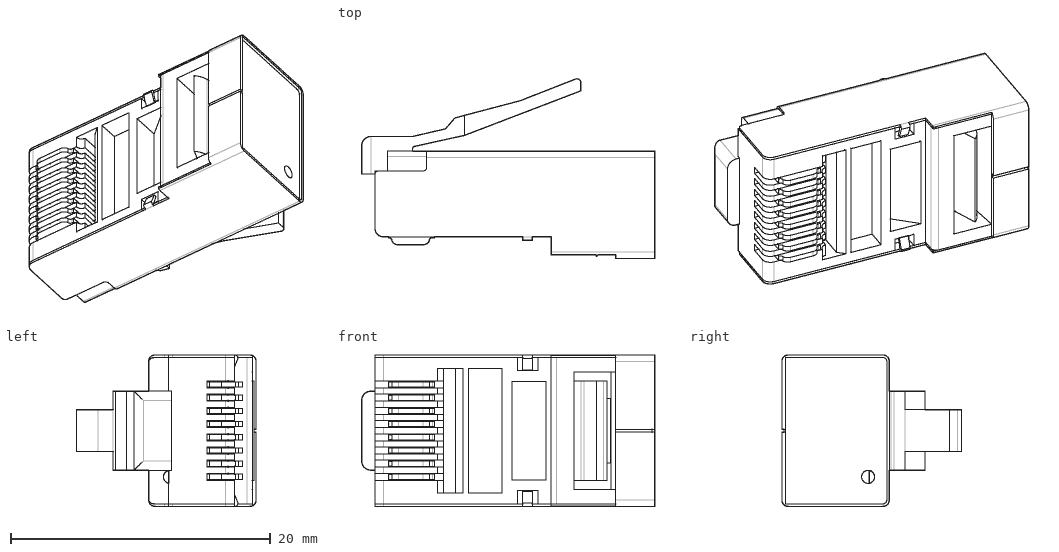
import cadquery as cq
import math


overall_length = 22.6
width = 11.68
latch_side = 8.3
sheet = 0.2
shell_radius = 0.5

nose_x = 1.02
nose_y = 1.67
nose_radius = 0.68
shoulder_x = 14.6
shoulder_y = 0.3
shoulder_radius = 0.43
housing_end = overall_length - 0.23
housing_width = width - 2 * sheet
ledge_y = 6.75
pad_x = 2.01
pad_radius = 0.4

shell_notch_end = 5.02
shell_notch_radius = 0.3
flap_x = 19.57
seam = 0.2
tab_x = 12.4
tab_width = 0.75
tab_bulge = 0.27
tab_reach = 1.18
tab_slope = 23.0
tab_notch_x = 12.0
tab_notch_length = 1.58
tab_notch_reach = 1.22
tab_notch_depth = 0.9

latch_width = 6.1
latch_round = 0.72
latch_foot = 6.5
latch_top = 9.42
latch_hinge_x = 3.93
finger_x = 7.93
finger_width = 3.23
finger_tip_x = 16.9
finger_tip_radius = 0.32
hinge_fillet = 0.2

contact_count = 8
pitch = 1.02
slot_width = 0.55
slot_floor = 3.77
slot_end = 6.3
contact_thickness = 0.4
contact_start = 2.05
contact_end = 5.6
contact_face = 1.6
contact_crest = 1.06
bump_middle = 3.77
bump_flat = 1.9
bump_round = (0.5, 0.32)
bump_round_radius = 0.52
bump_root = 0.23
contact_step_y = 2.7
contact_step = 0.14
contact_chamfer = (0.07, 0.18)

crimp_width = 9.58
crimp_slope_start = 7.23
crimp_end = 7.82
crimp_floor = 4.07
crimp_radius = 0.47
window_start = 8.25
window_end = 10.8
window_floor = 3.3
ramp_start = 11.6
ramp_end = 14.22
ramp_width = 7.6
ramp_angle = 40.5
clamp_start = 16.36
clamp_width = 9.06
clamp_floor = 3.16
clamp_wall_run = 0.35

bar_width = 7.68
bar_base = 2.87
bar_foot_x = 17.06
bar_foot_radius = 0.23
bar_tip_x = 18.1
bar_tip_y = 0.15
bar_back = (0.55, 0.9)
bar_back_radius = 2.03
bar_end_x = 18.92
web_end = 19.19
web_width = 4.97
web_y = 2.94

wire_radius = 0.5
wire_y = 6.65
wire_z = -(contact_count - 1) / 2 * pitch


def plate(outline, z_width):
    """Extrude a closed XY outline, centred on Z = 0."""
    return outline.extrude(z_width / 2, both=True)


def block(x0, x1, y0, y1, z_width, z_middle=0.0):
    return cq.Workplane("XY").box(x1 - x0, y1 - y0, z_width).translate(
        ((x0 + x1) / 2, (y0 + y1) / 2, z_middle)
    )


def shell_outside():
    return block(0, overall_length, 0, latch_side, width).edges("|X").fillet(shell_radius)


def shell_inside():
    section = block(0, overall_length, shoulder_y, latch_side - sheet, housing_width)
    return section.edges("|X and >Y").fillet(shell_radius - sheet)


def side_outline(start_y, end_y):
    """Front part outline from the nose to the shoulder, with the rounded nose corner."""
    return (
        cq.Workplane("XY")
        .moveTo(nose_x, start_y)
        .lineTo(nose_x, nose_y + nose_radius)
        .radiusArc((nose_x + nose_radius, nose_y), -nose_radius)
        .lineTo(shoulder_x, nose_y)
        .lineTo(shoulder_x, end_y)
    )


def contact_positions():
    return [(i - (contact_count - 1) / 2) * pitch for i in range(contact_count)]


def make_latch():
    foot = block(0, nose_x, latch_foot, latch_top, latch_width)
    foot = foot.union(block(nose_x, latch_hinge_x, ledge_y, latch_top, latch_width))
    foot = foot.edges("(<X and |Z and >Y) or (<X and |Y)").fillet(latch_round)
    hinge_y = 8.6
    finger_y = 9.5
    finger_top = 11.05
    underside_slope = (finger_y - hinge_y) / (finger_x - latch_hinge_x)
    wide = plate(
        cq.Workplane("XY")
        .moveTo(latch_hinge_x, latch_top)
        .lineTo(6.46, 10.01)
        .lineTo(7.19, 10.85)
        .lineTo(finger_x, finger_top)
        .lineTo(finger_x, finger_y)
        .lineTo(latch_hinge_x + hinge_fillet, hinge_y + hinge_fillet * underside_slope)
        .radiusArc((latch_hinge_x, hinge_y - hinge_fillet), -hinge_fillet)
        .close(),
        latch_width,
    )
    finger = plate(
        cq.Workplane("XY")
        .moveTo(finger_x, finger_y)
        .lineTo(finger_x, finger_top)
        .lineTo(12.23, 12.18)
        .lineTo(finger_tip_x, 14.01)
        .lineTo(finger_tip_x, 12.93)
        .close(),
        finger_width,
    ).edges("|Z and >X and >Y").fillet(finger_tip_radius)
    return foot.union(wide).union(finger)


def cut_windows(body):
    slope = math.tan(math.radians(ramp_angle))
    crimp_wall_y = nose_y + (crimp_end - crimp_slope_start) * slope
    crimp = plate(
        cq.Workplane("XY")
        .moveTo(slot_end - crimp_radius, nose_y)
        .radiusArc((slot_end, nose_y + crimp_radius), crimp_radius)
        .lineTo(slot_end, crimp_floor)
        .lineTo(crimp_slope_start, crimp_floor)
        .lineTo(crimp_slope_start, crimp_wall_y)
        .lineTo(crimp_end, nose_y)
        .close(),
        crimp_width,
    )
    window = block(window_start, window_end, nose_y, window_floor, crimp_width)
    ramp = plate(
        cq.Workplane("XY")
        .moveTo(ramp_start, nose_y)
        .lineTo(ramp_end, nose_y)
        .lineTo(ramp_start, nose_y + (ramp_end - ramp_start) * slope)
        .close(),
        ramp_width,
    )
    clamp = plate(
        cq.Workplane("XY")
        .moveTo(clamp_start, shoulder_y)
        .lineTo(flap_x, shoulder_y)
        .lineTo(flap_x - clamp_wall_run, clamp_floor)
        .lineTo(clamp_start, clamp_floor)
        .close(),
        clamp_width,
    )
    return body.cut(crimp).cut(window).cut(ramp).cut(clamp)


def make_bar():
    back_x, back_y = bar_back
    bar = plate(
        cq.Workplane("XY")
        .moveTo(clamp_start, clamp_floor)
        .lineTo(clamp_start, bar_base)
        .lineTo(bar_foot_x, bar_base)
        .lineTo(bar_tip_x, bar_tip_y)
        .radiusArc((bar_tip_x + back_x, bar_tip_y + back_y), -bar_back_radius)
        .lineTo(bar_end_x, clamp_floor)
        .close(),
        bar_width,
    )
    foot_edge = cq.selectors.NearestToPointSelector((bar_foot_x, bar_base, 0))
    bar = bar.edges("|Z").edges(foot_edge).fillet(bar_foot_radius)
    return bar.union(block(bar_end_x, web_end, web_y, clamp_floor, web_width))


def make_housing():
    body = plate(
        side_outline(ledge_y, shoulder_y + shoulder_radius)
        .radiusArc((shoulder_x + shoulder_radius, shoulder_y), -shoulder_radius)
        .lineTo(housing_end, shoulder_y)
        .lineTo(housing_end, latch_side - sheet)
        .lineTo(shell_notch_end, latch_side - sheet)
        .lineTo(shell_notch_end, ledge_y)
        .close(),
        housing_width,
    )
    body = body.intersect(shell_inside())
    pad = block(pad_x, shell_notch_end, ledge_y, latch_side, housing_width)
    body = body.union(pad.edges("|X and >Y").fillet(pad_radius))
    body = body.union(make_latch())
    body = cut_windows(body).union(make_bar())
    for z in contact_positions():
        body = body.cut(block(nose_x, slot_end, nose_y, slot_floor, slot_width, z))
    for side in (-1, 1):
        middle = side * (width - tab_notch_reach) / 2
        body = body.cut(
            block(tab_notch_x, tab_notch_x + tab_notch_length, nose_y,
                  nose_y + tab_notch_depth, tab_notch_reach, middle)
        )
    bore = cq.Workplane("YZ").workplane(offset=pad_x).center(wire_y, wire_z).circle(wire_radius)
    return body.cut(bore.extrude(overall_length))


def make_tab():
    half = width / 2
    rise = math.tan(math.radians(tab_slope))
    crest_y = nose_y - tab_bulge
    tip_y = crest_y + (tab_reach - tab_bulge) * rise
    return (
        cq.Workplane("YZ")
        .workplane(offset=tab_x)
        .moveTo(nose_y, half)
        .radiusArc((crest_y, half - tab_bulge), -tab_bulge)
        .lineTo(tip_y, half - tab_reach)
        .lineTo(tip_y + sheet, half - tab_reach)
        .lineTo(nose_y, half - sheet)
        .close()
        .extrude(tab_width)
    )


def make_shell():
    wrap = shell_outside().cut(shell_inside())
    outline = plate(
        side_outline(ledge_y, shoulder_y)
        .lineTo(flap_x, shoulder_y)
        .lineTo(flap_x, 0)
        .lineTo(overall_length, 0)
        .lineTo(overall_length, latch_side)
        .lineTo(shell_notch_end, latch_side)
        .lineTo(shell_notch_end, ledge_y)
        .close(),
        width,
    )
    notch_corners = cq.selectors.BoxSelector(
        (0, ledge_y - 0.23, -width), (shell_notch_end + 0.23, ledge_y + 0.23, width)
    )
    outline = outline.edges(notch_corners).edges("|Z").fillet(shell_notch_radius)
    shell = wrap.intersect(outline)
    shell = shell.cut(block(flap_x, overall_length, 0, shoulder_y, seam))
    tab = make_tab()
    return shell.union(tab).union(tab.mirror("XY"))


def make_contact(z):
    flat_start = bump_middle - bump_flat / 2
    flat_end = bump_middle + bump_flat / 2
    round_x, round_y = bump_round
    chamfer_x, chamfer_y = contact_chamfer
    knee_y = contact_crest + round_y
    return plate(
        cq.Workplane("XY")
        .moveTo(contact_start, contact_step_y)
        .lineTo(contact_start, contact_face)
        .lineTo(flat_start - round_x - bump_root, contact_face)
        .radiusArc((flat_start - round_x, knee_y), bump_root)
        .radiusArc((flat_start, contact_crest), -bump_round_radius)
        .lineTo(flat_end, contact_crest)
        .radiusArc((flat_end + round_x, knee_y), -bump_round_radius)
        .radiusArc((flat_end + round_x + bump_root, contact_face), bump_root)
        .lineTo(contact_end, contact_face)
        .lineTo(contact_end, slot_floor)
        .lineTo(contact_start + contact_step + chamfer_x, slot_floor)
        .lineTo(contact_start + contact_step, slot_floor - chamfer_y)
        .lineTo(contact_start + contact_step, contact_step_y)
        .close(),
        contact_thickness,
    ).translate((0, 0, z))


housing = make_housing()
shell = make_shell()
contacts = [make_contact(z) for z in contact_positions()]

result = cq.Compound.makeCompound(
    [housing.val(), shell.val(), *[contact.val() for contact in contacts]]
)